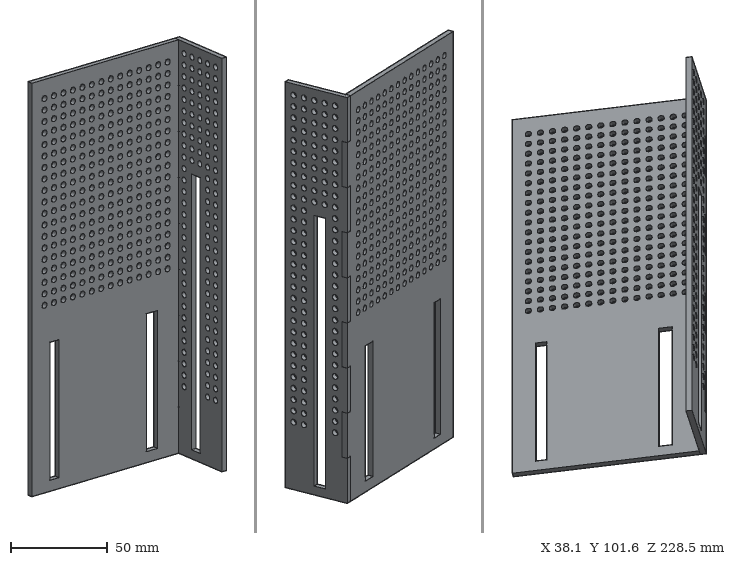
import cadquery as cq

height = 228.5
module = height / 36
width = 6 * module
depth = 16 * module
thickness = module / 2
back_face = depth - thickness

finger_count = 9
finger_height = height / finger_count

hole_diameter = module / 2
hole_pitch = module

back_columns = 5
back_rows = 30
back_full_rows = 10
interrupted_columns = (1, 2)
back_first_x = 7.5
back_first_drop = 6.5
back_slot_left = 13.5
back_slot_width = 6.9
back_slot_bottom = 5.0
back_slot_height = 24 * module

side_columns = 14
side_rows = 19
side_first_setback = 10.5
side_first_drop = 10.5
side_slot_bottom = 6.2
side_slot_height = 12 * module
rear_slot_setback = 17.4
rear_slot_width = 7.3
front_slot_setback = 83.5
front_slot_width = 6.0


def block(x_size, y_size, z_size, x, y, z):
    """Box whose lowest corner is at (x, y, z)."""
    return cq.Workplane("XY").box(x_size, y_size, z_size, centered=False).translate((x, y, z))


def corner_fingers(first):
    """Every second corner block, counted upward from the given step."""
    return [
        block(thickness, thickness, finger_height, 0, back_face, step * finger_height)
        for step in range(first, finger_count, 2)
    ]


def back_hole_centres():
    """X, Z centres; the columns above the slot stop after the full rows."""
    centres = []
    for row in range(back_rows):
        for column in range(back_columns):
            if row >= back_full_rows and column in interrupted_columns:
                continue
            x = back_first_x + column * hole_pitch
            z = height - back_first_drop - row * hole_pitch
            centres.append((x, z))
    return centres


def side_hole_centres():
    """Y, Z centres of the full rectangular grid."""
    return [
        (depth - side_first_setback - column * hole_pitch, height - side_first_drop - row * hole_pitch)
        for row in range(side_rows)
        for column in range(side_columns)
    ]


def make_back_plate():
    plate = block(width - thickness, thickness, height, thickness, back_face, 0)
    for finger in corner_fingers(0):
        plate = plate.union(finger)
    holes = (
        cq.Workplane("XZ", origin=(0, back_face, 0))
        .pushPoints(back_hole_centres())
        .circle(hole_diameter / 2)
        .extrude(-thickness)
    )
    slot = block(
        back_slot_width, thickness, back_slot_height, back_slot_left, back_face, back_slot_bottom
    )
    return plate.cut(holes).cut(slot)


def make_side_slot(setback, slot_width):
    """Upright slot whose rear edge is the given distance from the outer back face."""
    return block(
        thickness, slot_width, side_slot_height, 0, depth - setback - slot_width, side_slot_bottom
    )


def make_side_plate():
    plate = block(thickness, back_face, height, 0, 0, 0)
    for finger in corner_fingers(1):
        plate = plate.union(finger)
    holes = (
        cq.Workplane("YZ")
        .pushPoints(side_hole_centres())
        .circle(hole_diameter / 2)
        .extrude(thickness)
    )
    rear_slot = make_side_slot(rear_slot_setback, rear_slot_width)
    front_slot = make_side_slot(front_slot_setback, front_slot_width)
    return plate.cut(holes).cut(rear_slot).cut(front_slot)


back_plate = make_back_plate()
side_plate = make_side_plate()

result = cq.Compound.makeCompound([back_plate.val(), side_plate.val()])